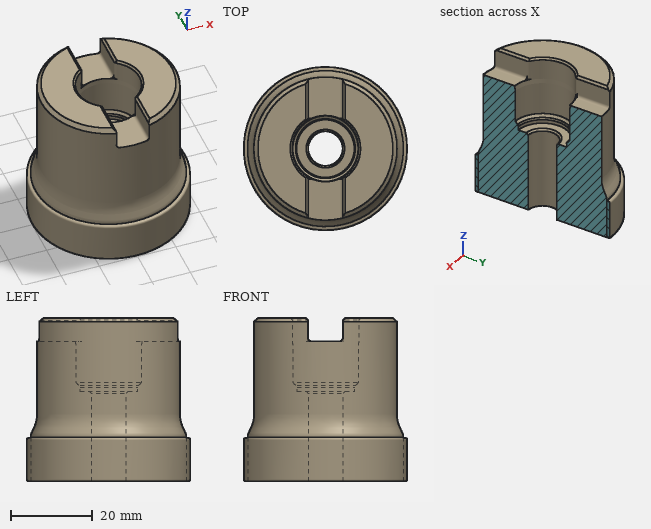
import cadquery as cq
import math

height = 40.0
cutting_diameter = 40.0
shank_diameter = 35.0

seat_diameter = 38.13
ring_inner_height = 10.75
ring_shoulder_height = 10.65
ring_corner_radius = 0.5

neck_flare_top = 16.4
neck_flare_radius = 7.5
neck_blend_radius = 2.0
neck_angle = math.radians(25)
top_chamfer = 1.0

mouth_diameter = 16.2
mouth_chamfer = 0.5
mouth_depth = 5.9
mouth_taper_depth = 1.2
bore_diameter = 16.0
bore_depth = 18.0
lead_in_diameter = 14.6
lead_in_depth = 0.5
screw_seat_diameter = 14.1
screw_seat_depth = 1.0
screw_hole_diameter = 8.4
screw_hole_chamfer = 0.5

slot_width = 8.5
slot_depth = 5.7
slot_floor_radius = 0.8
slot_chamfer = 0.6
slot_entry_radius = 1.0


def make_turned_body():
    """Outer profile of the tool body, turned about Z."""
    shank_radius = shank_diameter / 2
    seat_radius = seat_diameter / 2
    sine = math.sin(neck_angle)
    cosine = math.cos(neck_angle)

    flare_center_r = shank_radius + neck_flare_radius
    flare_middle = (
        flare_center_r - neck_flare_radius * math.cos(neck_angle / 2),
        neck_flare_top - neck_flare_radius * math.sin(neck_angle / 2),
    )
    flare_end = (
        flare_center_r - neck_flare_radius * cosine,
        neck_flare_top - neck_flare_radius * sine,
    )

    blend_center_r = seat_radius - neck_blend_radius
    blend_start_r = blend_center_r + neck_blend_radius * cosine
    cone_height = (blend_start_r - flare_end[0]) / math.tan(neck_angle)
    blend_start = (blend_start_r, flare_end[1] - cone_height)
    seat_top = blend_start[1] - neck_blend_radius * sine
    blend_middle = (
        blend_center_r + neck_blend_radius * math.cos(neck_angle / 2),
        seat_top + neck_blend_radius * math.sin(neck_angle / 2),
    )

    return (
        cq.Workplane("XZ")
        .moveTo(0, 0)
        .lineTo(0, height)
        .lineTo(shank_radius - top_chamfer, height)
        .lineTo(shank_radius, height - top_chamfer)
        .lineTo(shank_radius, neck_flare_top)
        .threePointArc(flare_middle, flare_end)
        .lineTo(*blend_start)
        .threePointArc(blend_middle, (seat_radius, seat_top))
        .lineTo(seat_radius, 0)
        .close()
        .revolve(360, (0, 0, 0), (0, 1, 0))
    )


def make_bore():
    """Stepped arbor bore with the screw hole through its floor."""
    mouth_radius = mouth_diameter / 2
    bore_radius = bore_diameter / 2
    lead_in_radius = lead_in_diameter / 2
    seat_radius = screw_seat_diameter / 2
    hole_radius = screw_hole_diameter / 2
    taper_top = height - mouth_depth
    floor_z = height - bore_depth
    seat_edge_z = floor_z + screw_seat_depth
    lead_in_z = seat_edge_z + lead_in_depth
    bore_end_z = lead_in_z + bore_radius - lead_in_radius
    return (
        cq.Workplane("XZ")
        .moveTo(0, 0)
        .lineTo(hole_radius, 0)
        .lineTo(hole_radius, floor_z - screw_hole_chamfer)
        .lineTo(hole_radius + screw_hole_chamfer, floor_z)
        .lineTo(seat_radius, floor_z)
        .lineTo(seat_radius, seat_edge_z)
        .lineTo(lead_in_radius, lead_in_z)
        .lineTo(bore_radius, bore_end_z)
        .lineTo(bore_radius, taper_top - mouth_taper_depth)
        .lineTo(mouth_radius, taper_top)
        .lineTo(mouth_radius, height - mouth_chamfer)
        .lineTo(mouth_radius + mouth_chamfer, height)
        .lineTo(0, height)
        .close()
        .revolve(360, (0, 0, 0), (0, 1, 0))
    )


def make_slot():
    """Driving slot with rounded lower corners and chamfered upper edges."""
    half_width = slot_width / 2
    floor_z = height - slot_depth
    return (
        cq.Workplane("XZ")
        .moveTo(-half_width, floor_z)
        .lineTo(half_width, floor_z)
        .lineTo(half_width, height - slot_chamfer)
        .lineTo(half_width + slot_chamfer, height)
        .lineTo(-half_width - slot_chamfer, height)
        .lineTo(-half_width, height - slot_chamfer)
        .close()
        .extrude(shank_diameter / 2, both=True)
        .edges("|Y and <Z")
        .fillet(slot_floor_radius)
    )


def make_slot_entries():
    """Cutter that rounds the upright edges where the slot walls run into the bore."""
    mouth_radius = mouth_diameter / 2
    rounding_center_x = slot_width / 2 + slot_entry_radius
    tangent_y = math.sqrt((mouth_radius + slot_entry_radius) ** 2 - rounding_center_x**2)
    contact_scale = mouth_radius / (mouth_radius + slot_entry_radius)
    wall_contact = (slot_width / 2, tangent_y)
    bore_contact = (rounding_center_x * contact_scale, tangent_y * contact_scale)
    entry = (
        cq.Workplane("XY", origin=(0, 0, height - slot_depth))
        .moveTo(0, 0)
        .lineTo(0, tangent_y)
        .lineTo(*wall_contact)
        .radiusArc(bore_contact, -slot_entry_radius)
        .close()
        .extrude(slot_depth)
    )
    entry = entry.union(entry.mirror("YZ"))
    return entry.union(entry.mirror("XZ"))


def make_tool_body():
    """Tool body with bore and driving slot."""
    return make_turned_body().cut(make_bore()).cut(make_slot()).cut(make_slot_entries())


def make_cutting_ring():
    """Ring around the seat, with rounded outer corners and a slightly sloping top."""
    outer_radius = cutting_diameter / 2
    seat_radius = seat_diameter / 2
    return (
        cq.Workplane("XZ")
        .moveTo(seat_radius, 0)
        .lineTo(outer_radius - ring_corner_radius, 0)
        .radiusArc((outer_radius, ring_corner_radius), -ring_corner_radius)
        .lineTo(outer_radius, ring_shoulder_height - ring_corner_radius)
        .radiusArc((outer_radius - ring_corner_radius, ring_shoulder_height), -ring_corner_radius)
        .lineTo(seat_radius, ring_inner_height)
        .close()
        .revolve(360, (0, 0, 0), (0, 1, 0))
    )


tool_body = make_tool_body()
cutting_ring = make_cutting_ring()
result = cq.Compound.makeCompound([tool_body.val(), cutting_ring.val()])